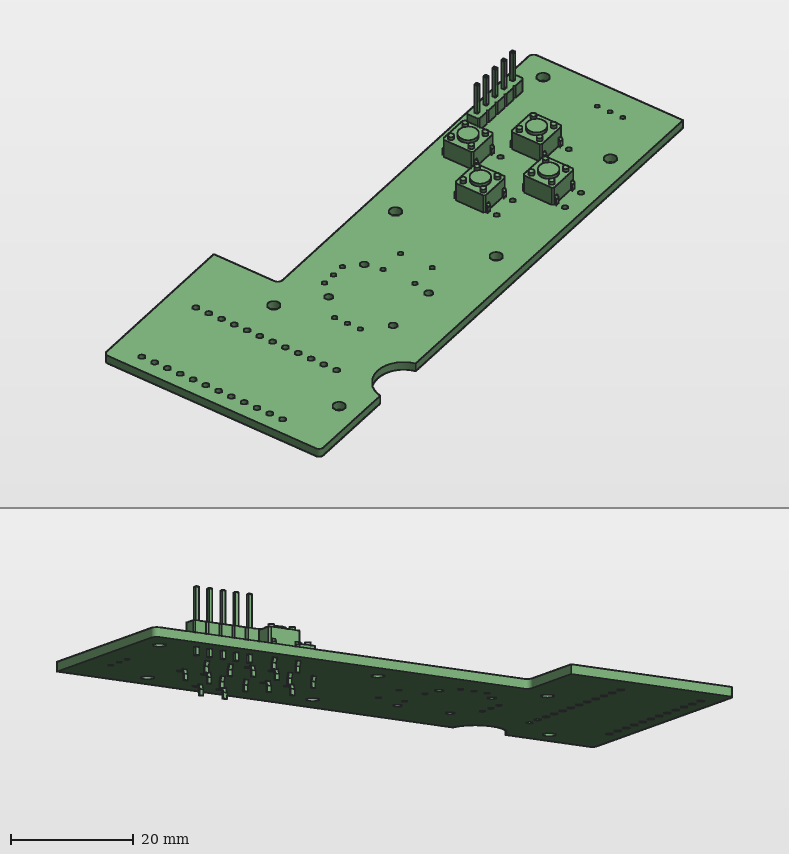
import cadquery as cq

board_length = 103.0
board_width = 43.0
board_thickness = 1.6
neck_width = 30.0
foot_length = 31.2
neck_corner_radius = 1.0
foot_corner_radius = 0.8
edge_cutout_radius = 5.2
edge_cutout_inset = 4.0
edge_cutout_y = -29.5

left_x = -board_width / 2
right_x = board_width / 2
neck_left_x = right_x - neck_width
bottom_y = -board_length / 2
top_y = board_length / 2
shoulder_y = bottom_y + foot_length

mount_hole_diameter = 2.2
mount_hole_points = [
    (-3.5, 47.5),
    (17.4, 36.7),
    (-3.5, 5.6),
    (16.5, 5.6),
    (-6.0, -25.4),
    (17.5, -40.5),
]

pin_row_count = 12
pin_row_span = 27.9
pin_pitch = pin_row_span / (pin_row_count - 1)
module_hole_diameter = 1.1
module_row_x = -2.1
module_row_ys = [-48.5, -33.2]

sensor_hole_count = 3
sensor_hole_diameter = 0.9
top_sensor_centre = (10.5, 46.5)
side_sensor_centre = (-2.5, -13.5)
lower_sensor_centre = (6.5, -22.4)
top_sensor_hole_diameter = 0.8

joystick_centre = (6.5, -13.5)
joystick_post_spacing = (12.8, 10.1)
joystick_post_diameter = 1.4
joystick_contact_centre = (6.5, -5.3)
joystick_contact_spacing = (6.3, 4.9)
joystick_contact_diameter = 0.89

button_cluster_centre = (5.7, 24.5)
button_cross_span = 16.0
button_offset = button_cross_span / 2
leg_outer_span = 6.7
leg_thickness = 0.34
button_size = leg_outer_span - 2 * leg_thickness
button_corner_chamfer = 0.3
button_body_height = 3.6
button_top_height = 4.2
button_cap_diameter = 3.5
button_stud_diameter = 1.0
button_stud_spacing = 4.0
leg_width = 0.7
leg_spacing = 4.5
leg_shoulder_height = 1.6
leg_shoulder_slope = 0.5
leg_bulge = 0.3
leg_tip_length = 1.0
leg_drop = 1.9
button_hole_offset = 4.8
button_hole_diameter = 1.0

header_pin_count = 5
header_side_inset = 3.1
header_end_inset = 8.7
header_centre = (
    neck_left_x + header_side_inset,
    top_y - header_end_inset - header_pin_count * pin_pitch / 2,
)
header_notch = 0.26
header_pin_size = 0.64
header_pin_tip = 0.15
header_pin_drop = 1.3
header_pin_rise = 8.5


def grid_points(centre, spacing):
    """Corners of a rectangle of holes."""
    x, y = centre
    dx, dy = spacing[0] / 2, spacing[1] / 2
    return [(x - dx, y - dy), (x + dx, y - dy), (x + dx, y + dy), (x - dx, y + dy)]


def row_points(centre, count, along_x=True):
    """Evenly pitched points in a row, centred on a point."""
    x, y = centre
    steps = [(i - (count - 1) / 2) * pin_pitch for i in range(count)]
    if along_x:
        return [(x + step, y) for step in steps]
    return [(x, y + step) for step in steps]


def drill(board, points, diameter):
    """Round holes through the board."""
    drills = cq.Workplane("XY").pushPoints(points).circle(diameter / 2).extrude(board_thickness)
    return board.cut(drills)


def make_board_blank():
    """L-shaped plate with rounded corners and a round cutout in its right edge."""
    plate = (
        cq.Workplane("XY")
        .moveTo(left_x, bottom_y)
        .lineTo(right_x, bottom_y)
        .lineTo(right_x, top_y)
        .lineTo(neck_left_x, top_y)
        .lineTo(neck_left_x, shoulder_y)
        .lineTo(left_x, shoulder_y)
        .close()
        .extrude(board_thickness)
    )
    rounded_corners = [
        (left_x, bottom_y, foot_corner_radius),
        (right_x, bottom_y, foot_corner_radius),
        (neck_left_x, top_y, neck_corner_radius),
        (neck_left_x, shoulder_y, neck_corner_radius),
    ]
    for x, y, radius in rounded_corners:
        corner = cq.selectors.NearestToPointSelector((x, y, board_thickness / 2))
        plate = plate.edges("|Z").edges(corner).fillet(radius)
    cutout_x = right_x - edge_cutout_inset + edge_cutout_radius
    return drill(plate, [(cutout_x, edge_cutout_y)], 2 * edge_cutout_radius)


def make_leg(side, y):
    """Strip down one side of a button, kinked outward where it leaves the board's underside."""
    inner_x = button_size / 2
    outer_x = inner_x + leg_thickness
    leg_top = board_thickness + leg_shoulder_height
    kink_z = board_thickness / 2
    tip_top = leg_tip_length - leg_drop
    profile = [
        (inner_x, leg_top),
        (outer_x, leg_top - leg_shoulder_slope),
        (outer_x, kink_z),
        (outer_x + leg_bulge, 0),
        (outer_x, tip_top),
        (outer_x, -leg_drop),
        (inner_x, -leg_drop),
        (inner_x, tip_top),
        (inner_x + leg_bulge, 0),
        (inner_x, kink_z),
    ]
    leg = (
        cq.Workplane("XZ", origin=(0, y, 0))
        .polyline([(side * x, z) for x, z in profile])
        .close()
        .extrude(leg_width / 2, both=True)
    )
    return leg


def make_button(centre):
    """Square button with a round cap, four corner studs and four legs."""
    button = (
        cq.Workplane("XY", origin=(0, 0, board_thickness))
        .rect(button_size, button_size)
        .extrude(button_body_height)
        .edges("|Z")
        .chamfer(button_corner_chamfer)
    )
    top = cq.Workplane("XY", origin=(0, 0, board_thickness))
    button = button.union(top.circle(button_cap_diameter / 2).extrude(button_top_height))
    stud_points = grid_points((0, 0), (button_stud_spacing, button_stud_spacing))
    studs = top.pushPoints(stud_points).circle(button_stud_diameter / 2).extrude(button_top_height)
    button = button.union(studs)
    for side in (-1, 1):
        for y in (-leg_spacing / 2, leg_spacing / 2):
            button = button.union(make_leg(side, y))
    return button.translate((centre[0], centre[1], 0))


def make_header():
    """Row of notched plastic cells, each with a square pin through it."""
    header = None
    for x, y in row_points(header_centre, header_pin_count, along_x=False):
        cell = (
            cq.Workplane("XY", origin=(x, y, board_thickness))
            .rect(pin_pitch, pin_pitch)
            .extrude(pin_pitch)
            .edges("|Z")
            .chamfer(header_notch)
        )
        pin = (
            cq.Workplane("XY", origin=(x, y, -header_pin_drop))
            .rect(header_pin_size, header_pin_size)
            .extrude(header_pin_drop + board_thickness + header_pin_rise)
            .faces(">Z")
            .chamfer(header_pin_tip)
        )
        cell = cell.union(pin)
        header = cell if header is None else header.union(cell)
    return header


cluster_x, cluster_y = button_cluster_centre
button_centres = [
    (cluster_x, cluster_y + button_offset),
    (cluster_x - button_offset, cluster_y),
    (cluster_x + button_offset, cluster_y),
    (cluster_x, cluster_y - button_offset),
]

buttons = [make_button(centre) for centre in button_centres]
header = make_header()

board = make_board_blank()
board = drill(board, mount_hole_points, mount_hole_diameter)
for row_y in module_row_ys:
    board = drill(board, row_points((module_row_x, row_y), pin_row_count), module_hole_diameter)
board = drill(board, row_points(top_sensor_centre, sensor_hole_count), top_sensor_hole_diameter)
board = drill(board, row_points(lower_sensor_centre, sensor_hole_count), sensor_hole_diameter)
board = drill(board, row_points(side_sensor_centre, sensor_hole_count, False), sensor_hole_diameter)
board = drill(board, grid_points(joystick_centre, joystick_post_spacing), joystick_post_diameter)
board = drill(
    board, grid_points(joystick_contact_centre, joystick_contact_spacing), joystick_contact_diameter
)
for x, y in button_centres:
    hole_x = x + button_hole_offset
    hole_points = [(hole_x, y - leg_spacing / 2), (hole_x, y + leg_spacing / 2)]
    board = drill(board, hole_points, button_hole_diameter)

for part in [*buttons, header]:
    board = board.cut(part)

result = cq.Compound.makeCompound([board.val(), header.val(), *[button.val() for button in buttons]])